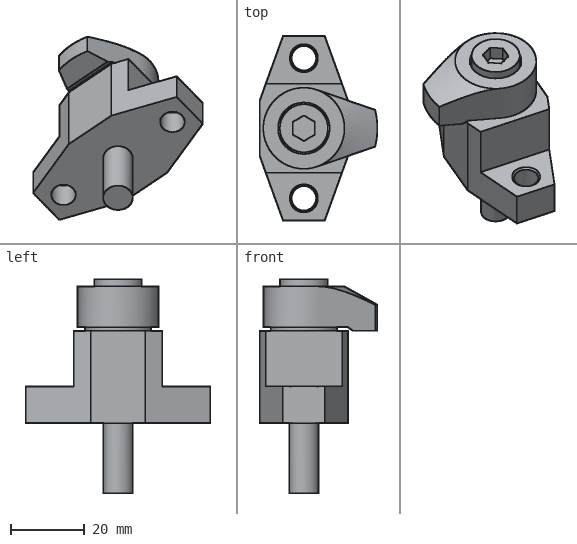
import cadquery as cq
import math


block_width = 24.0
block_height = 25.0
tower_length = 24.0
base_length = 50.0
ear_height = 10.0
ear_end_width = 11.3
side_flat_length = 14.85
mount_hole_diameter = 6.6
mount_hole_spacing = 37.95
mount_hole_chamfer = 0.5
countersink_angle = 90

clamp_diameter = 22.0
clamp_radius = clamp_diameter / 2
clamp_thickness = 11.0
collar_diameter = 18.0
collar_height = 1.0
arm_reach = 19.95
tip_width = 10.0
tip_top_drop = 5.0
step_start = 11.85
step_end = 13.2

shank_diameter = 8.0
shank_projection = 19.0
head_diameter = 13.0
head_height = 8.0
head_projection = 2.0
hex_across_flats = 6.0
hex_depth = 4.0
counterbore_diameter = 14.0

clamp_bottom = block_height + collar_height
clamp_top = clamp_bottom + clamp_thickness
screw_top = clamp_top + head_projection
head_seat = screw_top - head_height


def cylinder(diameter, bottom, top):
    """Cylinder on the clamp axis between two levels."""
    return cq.Workplane("XY").workplane(offset=bottom).circle(diameter / 2).extrude(top - bottom)


def make_block():
    """Tapered base with a raised tower and two drilled ears."""
    half_width = block_width / 2
    half_flat = side_flat_length / 2
    half_end = ear_end_width / 2
    half_length = base_length / 2
    outline = [
        (half_width, half_flat),
        (half_end, half_length),
        (-half_end, half_length),
        (-half_width, half_flat),
        (-half_width, -half_flat),
        (-half_end, -half_length),
        (half_end, -half_length),
        (half_width, -half_flat),
    ]
    block = cq.Workplane("XY").polyline(outline).close().extrude(block_height)

    ear_length = (base_length - tower_length) / 2
    above_ears = (
        cq.Workplane("XY")
        .workplane(offset=ear_height)
        .pushPoints([(0, side * (tower_length + ear_length) / 2) for side in (-1, 1)])
        .rect(block_width, ear_length)
        .extrude(block_height - ear_height)
    )
    block = block.cut(above_ears).cut(cylinder(shank_diameter, 0, block_height))

    countersink_diameter = mount_hole_diameter + 2 * mount_hole_chamfer
    return (
        block.copyWorkplane(cq.Workplane("XY", origin=(0, 0, ear_height)))
        .pushPoints([(0, side * mount_hole_spacing / 2) for side in (-1, 1)])
        .cskHole(mount_hole_diameter, countersink_diameter, countersink_angle)
    )


def make_arm():
    """Arm tangent to the clamp ring, with a conical top and a stepped underside."""
    tip_angle = math.asin(tip_width / 2 / arm_reach)
    tangent_angle = tip_angle + math.acos(clamp_radius / arm_reach)
    tangent_x = clamp_radius * math.cos(tangent_angle)
    tangent_y = clamp_radius * math.sin(tangent_angle)
    corner_x = arm_reach * math.cos(tip_angle)
    corner_y = tip_width / 2
    plan = (
        cq.Workplane("XY")
        .workplane(offset=block_height)
        .moveTo(0, 0)
        .lineTo(tangent_x, -tangent_y)
        .lineTo(corner_x, -corner_y)
        .threePointArc((arm_reach, 0), (corner_x, corner_y))
        .lineTo(tangent_x, tangent_y)
        .close()
        .extrude(clamp_top - block_height)
    )

    cone_envelope = (
        cq.Workplane("XZ")
        .moveTo(0, block_height)
        .lineTo(arm_reach, block_height)
        .lineTo(arm_reach, clamp_top - tip_top_drop)
        .lineTo(clamp_radius, clamp_top)
        .lineTo(0, clamp_top)
        .close()
        .revolve(360, (0, 0, 0), (0, 1, 0))
    )

    under_relief = (
        cq.Workplane("XZ")
        .moveTo(0, block_height)
        .lineTo(step_end, block_height)
        .lineTo(step_start, clamp_bottom)
        .lineTo(0, clamp_bottom)
        .close()
        .extrude(clamp_radius, both=True)
    )
    return plan.intersect(cone_envelope).cut(under_relief)


def make_clamp():
    """Ring with a collar below, one arm and a counterbored screw hole."""
    ring = cylinder(clamp_diameter, clamp_bottom, clamp_top)
    collar = cylinder(collar_diameter, block_height, clamp_bottom)
    screw_hole = cylinder(shank_diameter, block_height, clamp_top)
    counterbore = cylinder(counterbore_diameter, head_seat, clamp_top)
    return ring.union(make_arm()).union(collar).cut(screw_hole).cut(counterbore)


def make_screw():
    """Socket head screw through the clamp and the block."""
    head = cylinder(head_diameter, head_seat, screw_top)
    shank = cylinder(shank_diameter, -shank_projection, head_seat)
    hex_across_corners = hex_across_flats / math.cos(math.pi / 6)
    socket = (
        cq.Workplane("XY")
        .workplane(offset=screw_top - hex_depth)
        .transformed(rotate=(0, 0, 90))
        .polygon(6, hex_across_corners)
        .extrude(hex_depth)
    )
    return head.union(shank).cut(socket)


block = make_block()
clamp = make_clamp()
screw = make_screw()

result = cq.Compound.makeCompound([block.val(), clamp.val(), screw.val()])